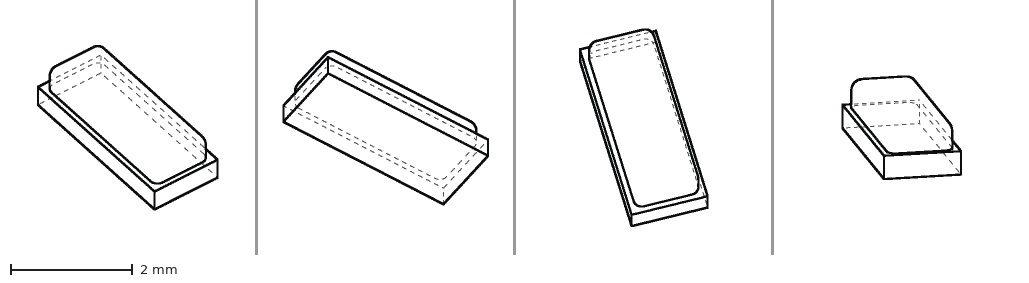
import cadquery as cq

base_length = 3.2
base_width = 1.3
base_height = 0.4

total_height = 0.9
cover_inset = 0.1
cover_length = base_length - 2 * cover_inset
cover_width = base_width - 2 * cover_inset
cover_height = total_height - base_height
corner_radius = 0.14
top_radius = 0.2


def make_base():
    return cq.Workplane("XY").box(base_length, base_width, base_height, centered=(True, True, False))


def make_cover():
    block = (
        cq.Workplane("XY")
        .workplane(offset=base_height)
        .box(cover_length, cover_width, cover_height, centered=(True, True, False))
    )
    return block.faces(">Z").edges().fillet(top_radius).edges("|Z").fillet(corner_radius)


result = make_base().union(make_cover())